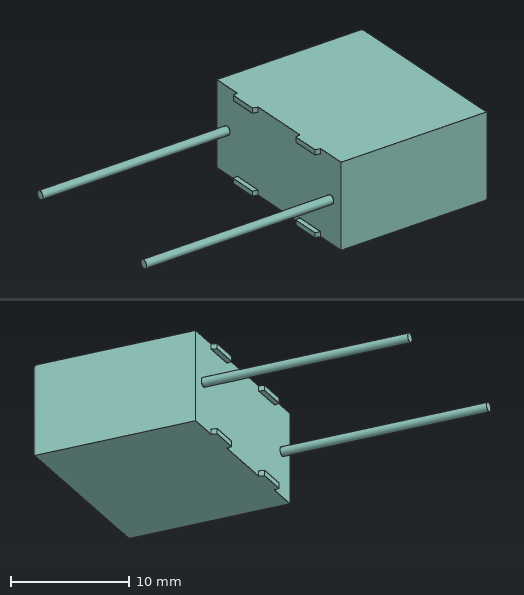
import cadquery as cq

case_length = 18.0
case_depth = 15.5
case_height = 8.51
back_fillet = 0.5

foot_height = 0.5
foot_thickness = 0.5
foot_root_inner = 3.0
foot_root_outer = 6.05
foot_taper = 0.15

lead_pitch = 15.0
lead_diameter = 0.85
overall_depth = 35.0
lead_length = overall_depth - case_depth

SIDES = (-1, 1)


def make_foot(x_side, z_side):
    """Tapered foot, flush with the upper or lower face of the case."""
    outline = [
        (x_side * foot_root_inner, 0),
        (x_side * (foot_root_inner + foot_taper), -foot_height),
        (x_side * (foot_root_outer - foot_taper), -foot_height),
        (x_side * foot_root_outer, 0),
    ]
    z_center = z_side * (case_height - foot_thickness) / 2
    return (
        cq.Workplane("XY", origin=(0, 0, z_center))
        .polyline(outline)
        .close()
        .extrude(foot_thickness / 2, both=True)
    )


def make_case():
    """Box with a rounded back and four feet; its front face lies on Y = 0."""
    case = (
        cq.Workplane("XY")
        .box(case_length, case_depth, case_height, centered=(True, False, True))
        .faces(">Y")
        .edges()
        .fillet(back_fillet)
    )
    for x_side in SIDES:
        for z_side in SIDES:
            case = case.union(make_foot(x_side, z_side))
    return case


def make_lead(x_side):
    """Straight round lead that starts on the front face of the case."""
    start = (x_side * lead_pitch / 2, 0, 0)
    return cq.Workplane("XZ", origin=start).circle(lead_diameter / 2).extrude(lead_length)


case = make_case()
leads = [make_lead(x_side) for x_side in SIDES]

result = cq.Compound.makeCompound([case.val(), *[lead.val() for lead in leads]])